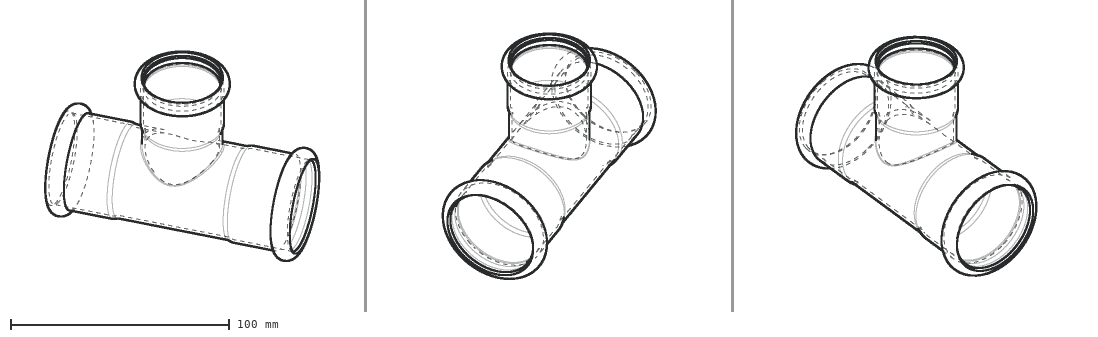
import cadquery as cq
import math

run_length = 117.3
total_height = 87.2
run_bead_diameter = 52.7
branch_top = total_height - run_bead_diameter / 2

wall = 1.47
step_length = 2.2
mouth_flare = 0.76
mouth_depth = 1.4
seal_width = 2.8
seat_taper_length = 0.7
junction_fillet = 0.7

run_pipe_diameter = 44.0
run_socket_diameter = 45.4
run_lip_diameter = 42.7
run_seal_diameter = 42.3
run_lip_length = 1.8
run_bead_width = 9.1
run_step_start = 29.8

branch_pipe_diameter = 37.0
branch_socket_diameter = 38.4
branch_bead_diameter = 43.6
branch_lip_diameter = 35.8
branch_seal_diameter = 34.6
branch_lip_length = 1.3
branch_bead_width = 7.4
branch_step_start = 26.2


def revolve_profile(profile):
    return profile.close().revolve(360, (0, 0, 0), (0, 1, 0))


def arm_outside(length, pipe_diameter, socket_diameter, step_start, bead_width, bead_diameter):
    """Outer solid of one arm: axis along Z, mouth at z = length, base at z = 0."""
    pipe_radius = pipe_diameter / 2
    socket_radius = socket_diameter / 2
    bead_round = bead_width / 2
    bead_center = bead_diameter / 2 - bead_round
    bead_z = length - bead_round
    bead_foot = bead_z - math.sqrt(bead_round**2 - (socket_radius - bead_center) ** 2)
    step_top = length - step_start
    return revolve_profile(
        cq.Workplane("XZ")
        .lineTo(pipe_radius, 0)
        .lineTo(pipe_radius, step_top - step_length)
        .lineTo(socket_radius, step_top)
        .lineTo(socket_radius, bead_foot)
        .threePointArc((bead_center + bead_round, bead_z), (bead_center, length))
        .lineTo(0, length)
    )


def arm_bore(length, pipe_diameter, socket_diameter, step_start, bead_width,
             lip_diameter, seal_diameter, lip_length):
    """Hollow of one arm: pipe bore, socket, seal seat with its bulging seal, flared mouth."""
    pipe_radius = pipe_diameter / 2 - wall
    socket_radius = socket_diameter / 2 - wall
    lip_radius = lip_diameter / 2
    seal_z = length - mouth_depth - lip_length - seal_width / 2
    seat_end = length - bead_width
    step_top = length - step_start
    return revolve_profile(
        cq.Workplane("XZ")
        .lineTo(pipe_radius, 0)
        .lineTo(pipe_radius, step_top - step_length)
        .lineTo(socket_radius, step_top)
        .lineTo(socket_radius, seat_end)
        .lineTo(lip_radius, seat_end + seat_taper_length)
        .lineTo(lip_radius, seal_z - seal_width / 2)
        .threePointArc((seal_diameter / 2, seal_z), (lip_radius, seal_z + seal_width / 2))
        .lineTo(lip_radius, length - mouth_depth)
        .lineTo(lip_radius + mouth_flare, length)
        .lineTo(0, length)
    )


def both_run_arms(arm):
    """Lay an upright arm along X and mirror it to form the whole run."""
    half = arm.rotate((0, 0, 0), (0, 1, 0), 90)
    return half.union(half.mirror("YZ"), clean=True)


def fillet_junction(body):
    """Round the saddle curve where the branch meets the run."""
    edge_margin = 0.1
    reach = branch_pipe_diameter / 2 + edge_margin
    run_radius = run_pipe_diameter / 2
    saddle = cq.selectors.BoxSelector(
        (-reach, -reach, edge_margin), (reach, reach, run_radius + edge_margin), boundingbox=True
    )
    return body.edges(saddle).fillet(junction_fillet)


run_shape = (run_length / 2, run_pipe_diameter, run_socket_diameter, run_step_start, run_bead_width)
branch_shape = (
    branch_top,
    branch_pipe_diameter,
    branch_socket_diameter,
    branch_step_start,
    branch_bead_width,
)

run_outside = both_run_arms(arm_outside(*run_shape, run_bead_diameter))
branch_outside = arm_outside(*branch_shape, branch_bead_diameter)
run_bore = both_run_arms(arm_bore(*run_shape, run_lip_diameter, run_seal_diameter, run_lip_length))
branch_bore = arm_bore(*branch_shape, branch_lip_diameter, branch_seal_diameter, branch_lip_length)

outside = fillet_junction(run_outside.union(branch_outside))
result = outside.cut(run_bore).cut(branch_bore)